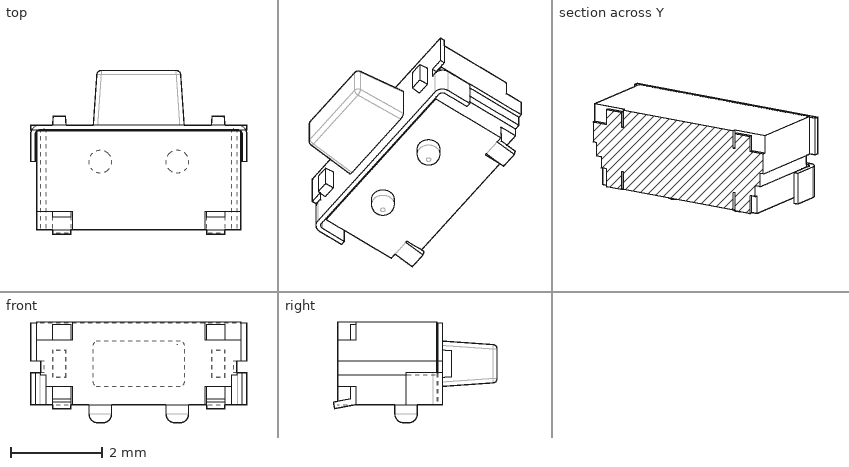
import cadquery as cq
import math


housing_depth = 2.175
housing_height = 1.82
upper_width = 4.48
middle_width = 4.31
lower_width = 4.06
upper_step_z = 0.955
lower_step_z = 0.65

pocket_depth = 0.4
pocket_height = 0.4
pocket_inner_x = 1.45
terminal_x = 1.69
terminal_width = 0.4
terminal_thickness = 0.12
upper_terminal_height = 0.34
foot_angle = 10.6
foot_thickness = 0.15
foot_length = 0.478

peg_x = 0.845
peg_y = 1.5
peg_diameter = 0.5
peg_length = 0.4
peg_tip_radius = 0.2

cover_gap = 0.02
cover_thickness = 0.105
cover_width = 4.75
cover_height = 1.795
tab_height = 0.705
waist_width = 4.15
tab_reach = 0.8
bend_inner_radius = 0.1
bend_outer_radius = bend_inner_radius + cover_thickness
cover_inner_y = housing_depth + cover_gap
cover_outer_y = cover_inner_y + cover_thickness

draft_angle = 4
feature_z = 0.9
button_width = 2.0
button_height = 1.0
button_length = 1.2
button_radius = 0.1
stud_x = 1.743
stud_width = 0.3
stud_height = 0.6
stud_length = 0.2

SIDES = (-1, 1)


def block(x_range, y_range, z_range):
    """Box spanning the given (low, high) ranges."""
    size = [high - low for low, high in (x_range, y_range, z_range)]
    return cq.Workplane("XY").box(*size, centered=False).translate((x_range[0], y_range[0], z_range[0]))


def centred_block(x_centre, width, y_range, z_range):
    """Box of the given width about x_centre."""
    return block((x_centre - width / 2, x_centre + width / 2), y_range, z_range)


def housing_block():
    """Stepped block, narrower toward the seating face."""
    depth = (0, housing_depth)
    upper = centred_block(0, upper_width, depth, (upper_step_z, housing_height))
    middle = centred_block(0, middle_width, depth, (lower_step_z, upper_step_z))
    lower = centred_block(0, lower_width, depth, (0, lower_step_z))
    return upper.union(middle).union(lower)


def corner_pocket(side, z_low):
    """Pocket open to the front and to one side of the housing."""
    pocket_width = upper_width / 2 - pocket_inner_x
    x_centre = side * (pocket_inner_x + pocket_width / 2)
    return centred_block(x_centre, pocket_width, (0, pocket_depth), (z_low, z_low + pocket_height))


def upper_terminal(side):
    """Short upright tongue at the back of an upper pocket."""
    z_low = housing_height - pocket_height
    y_range = (pocket_depth - terminal_thickness, pocket_depth)
    return centred_block(side * terminal_x, terminal_width, y_range, (z_low, z_low + upper_terminal_height))


def lower_terminal(side):
    """Upright leg at the back of a lower pocket, with a foot sloping down past the front face."""
    slope = math.radians(foot_angle)
    leg_front_y = pocket_depth - terminal_thickness
    toe_bottom_y = pocket_depth - foot_length * math.cos(slope)
    toe_bottom_z = -foot_length * math.sin(slope)
    toe_top_y = toe_bottom_y - foot_thickness * math.sin(slope)
    toe_top_z = toe_bottom_z + foot_thickness * math.cos(slope)
    heel_z = toe_top_z + (leg_front_y - toe_top_y) * math.tan(slope)
    profile = [
        (pocket_depth, pocket_height),
        (pocket_depth, 0),
        (toe_bottom_y, toe_bottom_z),
        (toe_top_y, toe_top_z),
        (leg_front_y, heel_z),
        (leg_front_y, pocket_height),
    ]
    leg = cq.Workplane("YZ").polyline(profile).close().extrude(terminal_width / 2, both=True)
    return leg.translate((side * terminal_x, 0, 0))


def peg(side):
    """Round peg with a rounded tip below the seating face."""
    pin = cq.Workplane("XY").circle(peg_diameter / 2).extrude(-peg_length)
    return pin.faces("<Z").edges().fillet(peg_tip_radius).translate((side * peg_x, peg_y, 0))


def make_housing():
    """Housing with its pockets, terminals and pegs."""
    body = housing_block()
    for side in SIDES:
        body = body.cut(corner_pocket(side, 0))
        body = body.cut(corner_pocket(side, housing_height - pocket_height))
        body = body.union(upper_terminal(side))
        body = body.union(lower_terminal(side))
        body = body.union(peg(side))
    return body


def bent_strip():
    """Lower strip of the cover, bent forward into a tab at each end."""
    outer_x = cover_width / 2
    inner_x = outer_x - cover_thickness
    bend_x = outer_x - bend_outer_radius
    bend_y = cover_outer_y - bend_outer_radius
    tab_end_y = cover_outer_y - tab_reach
    diagonal = math.sqrt(0.5)
    outer_mid = bend_outer_radius * diagonal
    inner_mid = bend_inner_radius * diagonal
    return (
        cq.Workplane("XY")
        .moveTo(-bend_x, cover_outer_y)
        .lineTo(bend_x, cover_outer_y)
        .threePointArc((bend_x + outer_mid, bend_y + outer_mid), (outer_x, bend_y))
        .lineTo(outer_x, tab_end_y)
        .lineTo(inner_x, tab_end_y)
        .lineTo(inner_x, bend_y)
        .threePointArc((bend_x + inner_mid, bend_y + inner_mid), (bend_x, cover_inner_y))
        .lineTo(-bend_x, cover_inner_y)
        .threePointArc((-bend_x - inner_mid, bend_y + inner_mid), (-inner_x, bend_y))
        .lineTo(-inner_x, tab_end_y)
        .lineTo(-outer_x, tab_end_y)
        .lineTo(-outer_x, bend_y)
        .threePointArc((-bend_x - outer_mid, bend_y + outer_mid), (-bend_x, cover_outer_y))
        .close()
        .extrude(tab_height)
    )


def drafted_boss(x_centre, width, height, length):
    """Tapered rectangular boss growing from the outer face of the cover."""
    plane = cq.Plane(origin=(x_centre, cover_outer_y, feature_z), xDir=(1, 0, 0), normal=(0, 1, 0))
    return cq.Workplane(plane).rect(width, height).extrude(length, taper=draft_angle)


def button():
    """Drafted push button, rounded on every edge except at its root."""
    boss = drafted_boss(0, button_width, button_height, button_length)
    return boss.edges("not(<Y)").fillet(button_radius)


def make_cover():
    """Cover plate with side tabs, button and studs."""
    thickness = (cover_inner_y, cover_outer_y)
    upper_plate = centred_block(0, cover_width, thickness, (upper_step_z, cover_height))
    waist = centred_block(0, waist_width, thickness, (tab_height, upper_step_z))
    body = bent_strip().union(waist).union(upper_plate).union(button())
    for side in SIDES:
        body = body.union(drafted_boss(side * stud_x, stud_width, stud_height, stud_length))
    return body


housing = make_housing()
cover = make_cover()

result = cq.Compound.makeCompound([housing.val(), cover.val()])